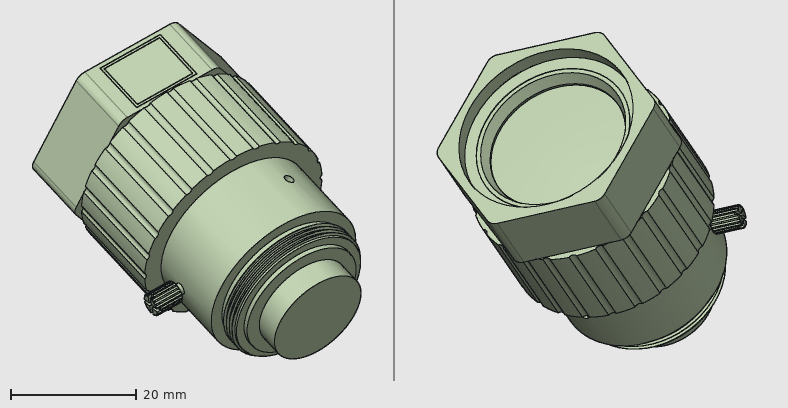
import cadquery as cq
import math

total_length = 52.0

hood_length = 11.6
hex_across_flats = 32.95
hex_corner_radius = 2.0
hood_bore_diameter = 29.95
hood_bore_depth = 2.55
undercut_diameter = 31.2
hood_floor_depth = 3.05
core_diameter = 26.4

frame_length = 10.0
frame_width = 11.85
frame_line_width = 0.45
frame_depth = 0.1

ring_gap = 0.1
ring_end = 28.95
ring_diameter = 35.0
flute_count = 24
flute_diameter = 1.7
flute_depth = 0.3

barrel_front = 3.15
cone_front_diameter = 24.95
lens_diameter = 23.3
cone_depth = 2.0
lens_rim_depth = 0.4
lens_sag = 1.25

body_end = 42.65
body_diameter = 28.55
relief_end = 43.6
relief_diameter = 24.3
thread_end = 46.75
thread_root_diameter = 24.55
collar_end = 47.6
collar_diameter = 21.55
neck_end = 47.85
neck_diameter = 14.6
tube_diameter = 17.1

thread_diameter = 25.4
thread_pitch = 0.8
thread_ridge_width = 0.4
thread_ridge_count = 4

hole_station = 34.3
radial_hole_depth = 2.6
lock_hole_diameter = 1.7
screw_angle = 180
lock_hole_angles = (screw_angle - 120, screw_angle + 120)
pin_hole_station = 38.3
pin_hole_diameter = 1.0
pin_hole_depth = 1.05
pin_hole_angle = 0

stem_diameter = 2.0
head_diameter = 3.9
head_start = 15.2
head_end = 20.25
head_chamfer = 0.2
head_flute_count = 20
head_flute_diameter = 0.35
slot_width = 0.6
slot_depth = 0.7
slot_angle = 13.0


def disc(start, end, diameter):
    """Cylinder on the X axis from start to end."""
    return cq.Workplane("YZ").workplane(offset=start).circle(diameter / 2).extrude(end - start)


def radial_cylinder(station, angle, inner, outer, diameter):
    """Cylinder at right angles to X between two distances from the axis."""
    along_y = (
        cq.Workplane("XZ", origin=(station, inner, 0)).circle(diameter / 2).extrude(inner - outer)
    )
    return along_y.rotate((0, 0, 0), (1, 0, 0), angle)


def make_hood():
    across_corners = hex_across_flats / math.cos(math.pi / 6)
    hood = (
        cq.Workplane("YZ")
        .polygon(6, across_corners)
        .extrude(hood_length)
        .edges("|X")
        .fillet(hex_corner_radius)
    )
    hood = hood.cut(disc(0, hood_bore_depth, hood_bore_diameter))
    hood = hood.cut(disc(hood_bore_depth, hood_floor_depth, undercut_diameter))
    hood = hood.cut(disc(hood_floor_depth, hood_length, core_diameter))
    return hood.cut(make_frame())


def make_frame():
    """Rectangular line sunk into the top flat of the hood."""
    frame_bottom = hex_across_flats / 2 - frame_depth
    return (
        cq.Workplane("XY", origin=(hood_length / 2, 0, frame_bottom))
        .rect(frame_length, frame_width)
        .rect(frame_length - 2 * frame_line_width, frame_width - 2 * frame_line_width)
        .extrude(frame_depth)
    )


def make_grip_ring():
    ring_start = hood_length + ring_gap
    ring = disc(ring_start, ring_end, ring_diameter).cut(disc(ring_start, ring_end, core_diameter))
    flute_centre = (ring_diameter + flute_diameter) / 2 - flute_depth
    flutes = (
        cq.Workplane("YZ")
        .workplane(offset=ring_start)
        .polarArray(flute_centre, 0, 360, flute_count)
        .circle(flute_diameter / 2)
        .extrude(ring_end - ring_start)
    )
    return ring.cut(flutes)


def make_barrel():
    lens_edge = barrel_front + cone_depth + lens_rim_depth
    lens_radius = lens_diameter / 2
    sphere_radius = (lens_radius**2 + lens_sag**2) / (2 * lens_sag)
    middle_drop = sphere_radius - math.sqrt(sphere_radius**2 - (lens_radius / 2) ** 2)
    lens_top = lens_edge - lens_sag
    profile = (
        cq.Workplane("XY")
        .moveTo(lens_top, 0)
        .threePointArc((lens_top + middle_drop, lens_radius / 2), (lens_edge, lens_radius))
        .lineTo(barrel_front + cone_depth, lens_radius)
        .lineTo(barrel_front, cone_front_diameter / 2)
        .lineTo(barrel_front, core_diameter / 2)
        .lineTo(ring_end, core_diameter / 2)
        .lineTo(ring_end, body_diameter / 2)
        .lineTo(body_end, body_diameter / 2)
        .lineTo(body_end, relief_diameter / 2)
        .lineTo(relief_end, relief_diameter / 2)
        .lineTo(relief_end, thread_root_diameter / 2)
        .lineTo(thread_end, thread_root_diameter / 2)
        .lineTo(thread_end, collar_diameter / 2)
        .lineTo(collar_end, collar_diameter / 2)
        .lineTo(collar_end, neck_diameter / 2)
        .lineTo(neck_end, neck_diameter / 2)
        .lineTo(neck_end, tube_diameter / 2)
        .lineTo(total_length, tube_diameter / 2)
        .lineTo(total_length, 0)
        .close()
    )
    barrel = profile.revolve(360, (0, 0, 0), (1, 0, 0))
    for index in range(thread_ridge_count):
        barrel = barrel.union(make_thread_ridge(relief_end + index * thread_pitch))
    return cut_radial_holes(barrel)


def make_thread_ridge(start):
    """Ring of triangular section standing on the thread root."""
    root = thread_root_diameter / 2
    base = root - thread_ridge_width
    return (
        cq.Workplane("XY")
        .moveTo(start, base)
        .lineTo(start, root)
        .lineTo(start + thread_ridge_width / 2, thread_diameter / 2)
        .lineTo(start + thread_ridge_width, root)
        .lineTo(start + thread_ridge_width, base)
        .close()
        .revolve(360, (0, 0, 0), (1, 0, 0))
    )


def cut_radial_holes(barrel):
    surface = body_diameter / 2
    hole_floor = surface - radial_hole_depth
    for angle in lock_hole_angles:
        barrel = barrel.cut(
            radial_cylinder(hole_station, angle, hole_floor, surface, lock_hole_diameter)
        )
    barrel = barrel.cut(
        radial_cylinder(hole_station, screw_angle, hole_floor, surface, stem_diameter)
    )
    pin_floor = surface - pin_hole_depth
    return barrel.cut(
        radial_cylinder(pin_hole_station, pin_hole_angle, pin_floor, surface, pin_hole_diameter)
    )


def make_thumbscrew():
    stem_end = body_diameter / 2 - radial_hole_depth
    stem = radial_cylinder(hole_station, screw_angle, stem_end, head_start, stem_diameter)
    head = radial_cylinder(hole_station, screw_angle, head_start, head_end, head_diameter)
    head = head.faces("<Y or >Y").chamfer(head_chamfer)
    head_length = head_end - head_start
    flutes = (
        cq.Workplane("XZ", origin=(hole_station, -head_start, 0))
        .polarArray(head_diameter / 2, 0, 360, head_flute_count)
        .circle(head_flute_diameter / 2)
        .extrude(head_length)
    )
    head = head.cut(flutes)
    for angle in (slot_angle, slot_angle + 90):
        slot = (
            cq.Workplane("XZ", origin=(hole_station, -head_end, 0))
            .transformed(rotate=(0, 0, angle))
            .rect(head_diameter, slot_width)
            .extrude(-slot_depth)
        )
        head = head.cut(slot)
    return stem.union(head)


hood = make_hood()
grip_ring = make_grip_ring()
barrel = make_barrel()
thumbscrew = make_thumbscrew()

result = cq.Compound.makeCompound([hood.val(), grip_ring.val(), barrel.val(), thumbscrew.val()])